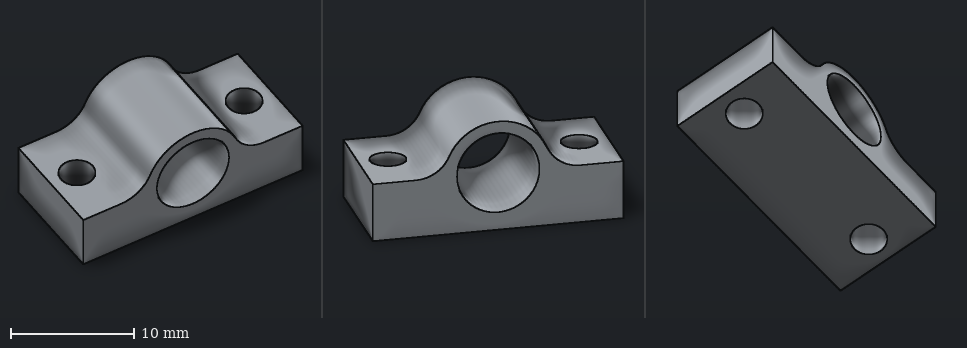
import cadquery as cq
import math

length = 21.0
width = 10.0
base_height = 5.0
barrel_radius = 4.5
bore_diameter = 6.9
blend_radius = 3.0
screw_hole_diameter = 3.0
screw_hole_spacing = 16.0

center_distance = barrel_radius + blend_radius
blend_y = math.sqrt(center_distance**2 - blend_radius**2)
blend_z = base_height + blend_radius
joint_y = blend_y * barrel_radius / center_distance
joint_z = base_height + blend_radius * barrel_radius / center_distance


def blend_midpoint():
    """Middle of the +Y blend arc, halfway between its two end directions."""
    joint_angle = math.atan2(joint_z - blend_z, joint_y - blend_y)
    foot_angle = -math.pi / 2
    middle_angle = (joint_angle + foot_angle) / 2
    return (
        blend_y + blend_radius * math.cos(middle_angle),
        blend_z + blend_radius * math.sin(middle_angle),
    )


def make_body():
    """Base and barrel profile in the YZ plane, extruded symmetrically along X."""
    half_length = length / 2
    middle_y, middle_z = blend_midpoint()
    return (
        cq.Workplane("YZ")
        .moveTo(-half_length, 0)
        .lineTo(half_length, 0)
        .lineTo(half_length, base_height)
        .lineTo(blend_y, base_height)
        .threePointArc((middle_y, middle_z), (joint_y, joint_z))
        .threePointArc((0, base_height + barrel_radius), (-joint_y, joint_z))
        .threePointArc((-middle_y, middle_z), (-blend_y, base_height))
        .lineTo(-half_length, base_height)
        .close()
        .extrude(width / 2, both=True)
    )


def make_bore():
    """Cylinder along X, concentric with the barrel."""
    return (
        cq.Workplane("YZ")
        .center(0, base_height)
        .circle(bore_diameter / 2)
        .extrude(width / 2, both=True)
    )


def make_screw_holes():
    """Vertical through holes, one in each foot, tall enough to clear the blends."""
    return (
        cq.Workplane("XY")
        .pushPoints([(0, -screw_hole_spacing / 2), (0, screw_hole_spacing / 2)])
        .circle(screw_hole_diameter / 2)
        .extrude(base_height + barrel_radius)
    )


result = make_body().cut(make_bore()).cut(make_screw_holes())